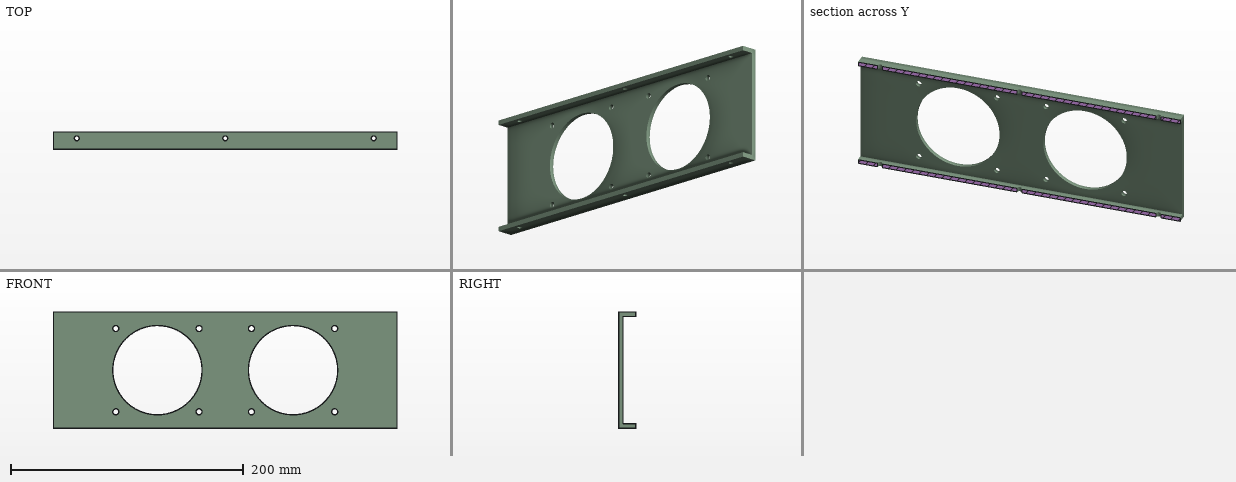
import cadquery as cq

length = 295.0
depth = 15.0
height = 100.0
web_thickness = 4.0
flange_thickness = 4.0

opening_diameter = 76.5
opening_pitch = 116.5
screw_pitch = 71.5
screw_diameter = 5.0

flange_hole_count = 3
flange_hole_end_distance = 20.0
flange_hole_diameter = 4.0
flange_hole_back_distance = 5.5
flange_hole_pitch = (length - 2 * flange_hole_end_distance) / (flange_hole_count - 1)


def make_channel():
    """C-section with its front face at Y = 0, centred on X and Z."""
    block = cq.Workplane("XY").box(length, depth, height).translate((0, depth / 2, 0))
    cavity_depth = depth - web_thickness
    cavity_height = height - 2 * flange_thickness
    cavity = cq.Workplane("XY").box(length, cavity_depth, cavity_height)
    return block.cut(cavity.translate((0, web_thickness + cavity_depth / 2, 0)))


def web_holes(points, diameter):
    """Cylinders along Y through the web at the given (x, z) points."""
    holes = cq.Workplane("XZ").pushPoints(points).circle(diameter / 2)
    return holes.extrude(-web_thickness)


def flange_holes():
    """Cylinders along Z through both flanges, centred on the length."""
    hole_y = depth - flange_hole_back_distance
    middle = (flange_hole_count - 1) / 2
    points = [((i - middle) * flange_hole_pitch, hole_y) for i in range(flange_hole_count)]
    holes = cq.Workplane("XY").workplane(offset=-height / 2).pushPoints(points)
    return holes.circle(flange_hole_diameter / 2).extrude(height)


opening_centers = [(side * opening_pitch / 2, 0) for side in (-1, 1)]
screw_points = [
    (center_x + side_x * screw_pitch / 2, side_z * screw_pitch / 2)
    for center_x, _ in opening_centers
    for side_x in (-1, 1)
    for side_z in (-1, 1)
]

result = make_channel()
result = result.cut(web_holes(opening_centers, opening_diameter))
result = result.cut(web_holes(screw_points, screw_diameter))
result = result.cut(flange_holes())